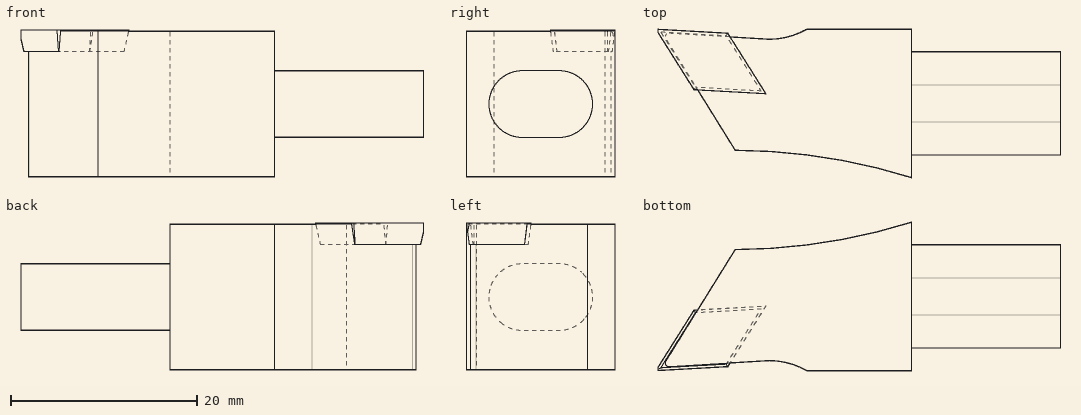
import cadquery as cq
import math

total_length = 43.3
body_width = 16.0
total_height = 15.8

insert_rise = 0.15
holder_height = total_height - insert_rise
holder_end_x = 27.3
relief_start_x = 16.02
relief_end = (12.0, -1.1)
relief_middle = (14.15, -0.8)
holder_nose = (0.48, -0.4)
holder_nose_radius = 0.4
cutting_corner = (8.3, -13.05)
belly_middle = (18.0, -13.8)

shank_thickness = 7.2
shank_width = 11.15

insert_thickness = 2.35
clearance_angle = 7.0
insert_nose = (-0.2, 0.0)
insert_long_side = 7.75
insert_slant_side = 7.7
long_side_angle = math.radians(-3.2)
slant_side_angle = math.radians(-57.8)


def along(start, length, angle):
    """Point at a distance from start in the given direction."""
    return (start[0] + length * math.cos(angle), start[1] + length * math.sin(angle))


def make_insert():
    back_corner = along(insert_nose, insert_long_side, long_side_angle)
    inner_corner = along(back_corner, insert_slant_side, slant_side_angle)
    front_corner = along(insert_nose, insert_slant_side, slant_side_angle)
    blade = (
        cq.Workplane("XY", origin=(0, 0, total_height))
        .polyline([insert_nose, back_corner, inner_corner, front_corner])
        .close()
        .extrude(-insert_thickness, taper=clearance_angle)
    )
    tip_waste = cq.Workplane("XY").box(
        total_length, total_length, total_length, centered=(False, True, False)
    ).translate((-total_length, 0, 0))
    return blade.cut(tip_waste)


def make_holder_block():
    block = (
        cq.Workplane("XY")
        .moveTo(*holder_nose)
        .lineTo(*cutting_corner)
        .threePointArc(belly_middle, (holder_end_x, -body_width))
        .lineTo(holder_end_x, 0)
        .lineTo(relief_start_x, 0)
        .threePointArc(relief_middle, relief_end)
        .close()
        .extrude(holder_height)
    )
    return block.edges("|Z and <X").fillet(holder_nose_radius)


def make_shank():
    return (
        cq.Workplane("YZ", origin=(holder_end_x, -body_width / 2, holder_height / 2))
        .slot2D(shank_width, shank_thickness)
        .extrude(total_length - holder_end_x)
    )


insert = make_insert()

holder = make_holder_block().union(make_shank()).cut(insert)

result = cq.Compound.makeCompound([holder.val(), insert.val()])